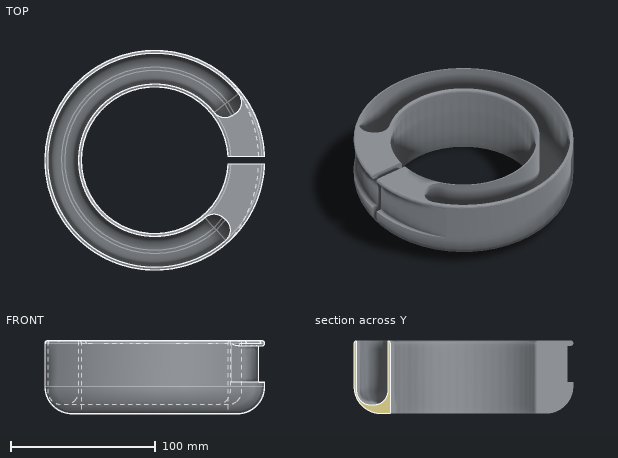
import cadquery as cq
import math

outer_radius = 76.2
bore_radius = 50.8
height = 50.8
base_fillet = 19.05
rim_fillet = 2.0
split_width = 5.08

channel_wall = 2.032
channel_floor = 6.35
channel_fillet = 9.525
channel_start_angle = 30.0
channel_end_angle = 320.0

relief_bottom = 22.0
relief_lip = 3.81
relief_end_angle = 45.6
relief_floor_x = 72.0


def make_ring():
    """Ring with a large rounded base and a rounded rim on the bore and outer wall."""
    ring = cq.Workplane("XY").circle(outer_radius).circle(bore_radius).extrude(height)
    ring = ring.faces("<Z").edges(cq.selectors.RadiusNthSelector(-1)).fillet(base_fillet)
    return ring.faces(">Z").edges().fillet(rim_fillet)


def make_channel():
    """Tool for the channel: an annular sector with rounded ends and a rounded floor."""
    inner = bore_radius + channel_wall
    outer = outer_radius - channel_wall
    sweep = channel_end_angle - channel_start_angle
    sector = (
        cq.Workplane("XZ")
        .moveTo(inner, channel_floor)
        .lineTo(outer, channel_floor)
        .lineTo(outer, height)
        .lineTo(inner, height)
        .close()
        .revolve(sweep, (0, 0, 0), (0, -1, 0))
        .rotate((0, 0, 0), (0, 0, 1), channel_end_angle)
    )
    sector = sector.edges("|Z").fillet(channel_fillet)
    return sector.faces("<Z").edges().fillet(channel_fillet)


def make_relief():
    """Tool for the relief: a crescent outside a large arc, topped by a lip with a rounded edge."""
    end_x = outer_radius * math.cos(math.radians(relief_end_angle))
    end_y = outer_radius * math.sin(math.radians(relief_end_angle))
    reach = 2 * outer_radius
    crescent = (
        cq.Workplane("XY")
        .moveTo(end_x, -end_y)
        .threePointArc((relief_floor_x, 0), (end_x, end_y))
        .lineTo(reach, end_y)
        .lineTo(reach, -end_y)
        .close()
        .extrude(height)
    )
    lip_bottom = height - relief_lip
    lip_flat_radius = outer_radius - rim_fillet
    arc_offset = rim_fillet * math.sqrt(0.5)
    space_below_lip = (
        cq.Workplane("XZ")
        .moveTo(bore_radius, relief_bottom)
        .lineTo(reach, relief_bottom)
        .lineTo(reach, lip_bottom + rim_fillet)
        .lineTo(outer_radius, lip_bottom + rim_fillet)
        .threePointArc(
            (lip_flat_radius + arc_offset, lip_bottom + rim_fillet - arc_offset),
            (lip_flat_radius, lip_bottom),
        )
        .lineTo(bore_radius, lip_bottom)
        .close()
        .revolve(360, (0, 0, 0), (0, 1, 0))
    )
    return crescent.intersect(space_below_lip)


def make_split():
    """Tool for the radial split on the +X side."""
    return cq.Workplane("XY").box(
        2 * outer_radius, split_width, height, centered=(False, True, False)
    )


result = make_ring().cut(make_split()).cut(make_channel()).cut(make_relief())